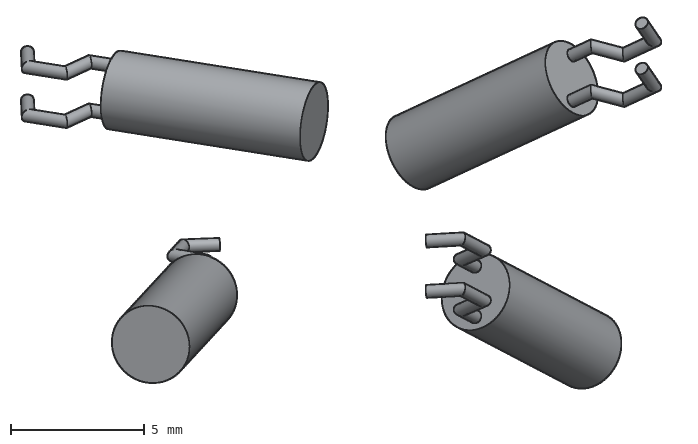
import cadquery as cq

BODY_LENGTH = 8.0
BODY_RADIUS = 1.5

LEAD_RADIUS = 0.25
LEAD_PITCH = 2.0
STRAIGHT_LENGTH = 1.0
BEND_RUN = 0.5
FOOT_LENGTH = 1.5

FOOT_Y = -(BODY_RADIUS - LEAD_RADIUS)


def make_body():
    return cq.Workplane("YZ").circle(BODY_RADIUS).extrude(BODY_LENGTH)


def make_lead(z):
    """Mitred round wire whose centreline lies in the plane at height z."""
    first_bend_x = -STRAIGHT_LENGTH
    foot_start_x = first_bend_x - BEND_RUN
    foot_end_x = foot_start_x - FOOT_LENGTH
    tip_x = foot_end_x - BEND_RUN
    centreline = cq.Workplane("XY", origin=(0, 0, z)).polyline([
        (0, 0),
        (first_bend_x, 0),
        (foot_start_x, FOOT_Y),
        (foot_end_x, FOOT_Y),
        (tip_x, 0),
    ])
    section = cq.Workplane("YZ", origin=(0, 0, z)).circle(LEAD_RADIUS)
    return section.sweep(centreline, transition="right")


result = make_body()
for side in (-1, 1):
    result = result.union(make_lead(side * LEAD_PITCH / 2))